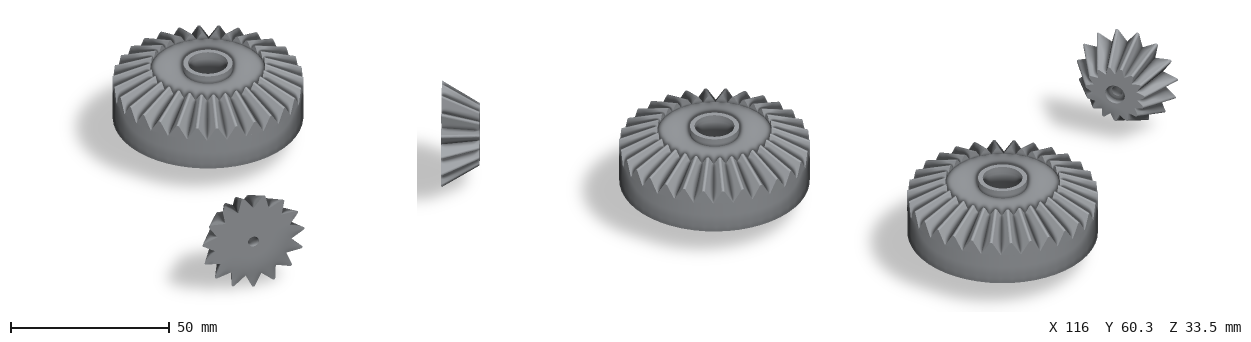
import cadquery as cq
import math

face_width = 12.0
crest_radius = 0.6

wheel_teeth = 30
wheel_radius = 30.0
rim_height = 10.5
root_cone_angle = 30.0
wheel_tooth_height = 4.95
wheel_bore_radius = 6.25
hub_radius = 7.75
hub_height = 2.7

wheel_top_radius = wheel_radius - face_width
wheel_top_height = rim_height + face_width * math.tan(math.radians(root_cone_angle))
inner_end_ratio = wheel_top_radius / wheel_radius

pinion_teeth = wheel_teeth // 2
pinion_peak_radius = 17.64
pinion_root_radius = 12.5
pinion_bore_radius = 1.8
counterbore_radius = 3.25
counterbore_depth = 2.2
pinion_small_end_x = 73.98
pinion_axis_y = -12.0
pinion_axis_z = 8.6


def wheel_tooth():
    """Tooth on the +X side: two similar triangles joined by flat flanks, with a rounded crest."""
    half_pitch_angle = math.pi / wheel_teeth
    ends = (
        (wheel_top_radius, wheel_top_height, wheel_tooth_height * inner_end_ratio),
        (wheel_radius, rim_height, wheel_tooth_height),
    )
    sections = []
    for radius, root_level, height in ends:
        half_base = radius * math.tan(half_pitch_angle)
        corners = [
            cq.Vector(radius, -half_base, root_level),
            cq.Vector(radius, half_base, root_level),
            cq.Vector(radius, 0, root_level + height),
        ]
        sections.append(cq.Wire.makePolygon(corners, close=True))
    sharp_tooth = cq.Workplane(obj=cq.Solid.makeLoft(sections, True))
    middle_radius = (wheel_radius + wheel_top_radius) / 2
    crest = cq.selectors.NearestToPointSelector((middle_radius, 0, wheel_top_height + wheel_tooth_height))
    return sharp_tooth.edges(crest).fillet(crest_radius)


def facet_corners(flat_radius):
    """Corners of a regular polygon whose sides, one per tooth, lie flat_radius from the axis."""
    half_pitch_angle = math.pi / wheel_teeth
    corner_radius = flat_radius / math.cos(half_pitch_angle)
    angles = [(2 * index + 1) * half_pitch_angle for index in range(wheel_teeth)]
    return [(corner_radius * math.cos(angle), corner_radius * math.sin(angle)) for angle in angles]


def wheel_blank():
    """Round rim, faceted root cone with one flat under each tooth, and hub."""
    rim = cq.Workplane("XY").circle(wheel_radius).extrude(rim_height)
    root_cone = (
        cq.Workplane("XY", origin=(0, 0, rim_height))
        .polyline(facet_corners(wheel_radius)).close()
        .workplane(offset=wheel_top_height - rim_height)
        .polyline(facet_corners(wheel_top_radius)).close()
        .loft(ruled=True)
    )
    hub = cq.Workplane("XY", origin=(0, 0, wheel_top_height)).circle(hub_radius).extrude(hub_height)
    return rim.union(root_cone).union(hub)


def make_wheel():
    first_tooth = wheel_tooth()
    teeth = [
        first_tooth.rotate((0, 0, 0), (0, 0, 1), index * 360 / wheel_teeth).val()
        for index in range(wheel_teeth)
    ]
    toothed_blank = wheel_blank().val().fuse(*teeth)
    bore = cq.Workplane("XY").circle(wheel_bore_radius).extrude(wheel_top_height + hub_height)
    return cq.Workplane(obj=toothed_blank).cut(bore)


def tooth_angles():
    """Angle of each pinion tooth about its axis, starting with the tooth that points along -Z."""
    return [math.pi * (1 + 2 * index / pinion_teeth) for index in range(pinion_teeth)]


def on_circle(radius, angle):
    return (radius * math.sin(angle), radius * math.cos(angle))


def pinion_outline(end_ratio):
    """Sharp-toothed outline at one end of the pinion."""
    half_pitch_angle = math.pi / pinion_teeth
    points = []
    for angle in tooth_angles():
        points.append(on_circle(pinion_peak_radius * end_ratio, angle))
        points.append(on_circle(pinion_root_radius * end_ratio, angle + half_pitch_angle))
    return points


def make_pinion():
    body = (
        cq.Workplane("YZ")
        .polyline(pinion_outline(inner_end_ratio)).close()
        .workplane(offset=face_width)
        .polyline(pinion_outline(1.0)).close()
        .loft(ruled=True)
    )
    crest_middle_radius = pinion_peak_radius * (1 + inner_end_ratio) / 2
    crests = cq.Workplane("YZ")
    for angle in tooth_angles():
        crest_middle = (face_width / 2, *on_circle(crest_middle_radius, angle))
        crests = crests.add(body.edges(cq.selectors.NearestToPointSelector(crest_middle)))
    body = body.newObject(crests.vals()).fillet(crest_radius)
    bore = cq.Workplane("YZ").circle(pinion_bore_radius).extrude(face_width)
    counterbore = cq.Workplane("YZ").circle(counterbore_radius).extrude(counterbore_depth)
    pinion = body.cut(bore).cut(counterbore)
    return pinion.translate((pinion_small_end_x, pinion_axis_y, pinion_axis_z))


wheel = make_wheel()
pinion = make_pinion()

result = cq.Compound.makeCompound([wheel.val(), pinion.val()])